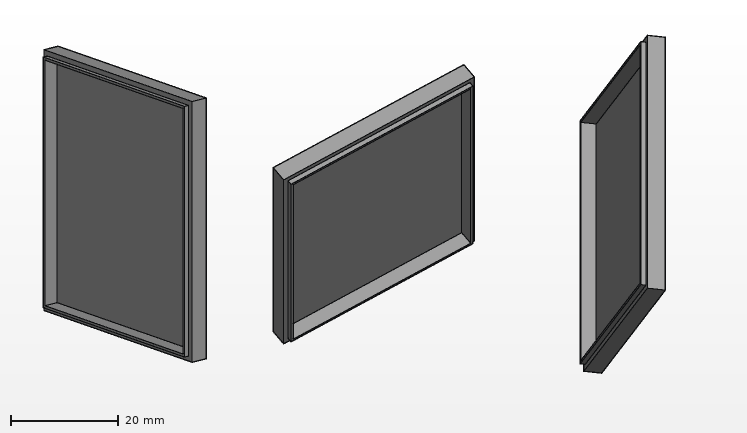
import cadquery as cq

WIDTH = 43.0
HEIGHT = 51.0
DEPTH = 4.5
LIP_LENGTH = 1.0
LIP_INSET = 1.0
LIP_THICKNESS = 0.5
FLOOR_THICKNESS = 1.5

BODY_DEPTH = DEPTH - LIP_LENGTH
POCKET_DEPTH = DEPTH - FLOOR_THICKNESS
POCKET_INSET = LIP_INSET + LIP_THICKNESS


def inset_block(inset, y_start, length):
    """Block inset equally from all four outer walls, running along +Y from y_start."""
    return (
        cq.Workplane("XY")
        .box(WIDTH - 2 * inset, length, HEIGHT - 2 * inset, centered=(True, False, True))
        .translate((0, y_start, 0))
    )


body = inset_block(0, LIP_LENGTH, BODY_DEPTH)
lip = inset_block(LIP_INSET, 0, LIP_LENGTH)
pocket = inset_block(POCKET_INSET, 0, POCKET_DEPTH)

result = body.union(lip).cut(pocket)